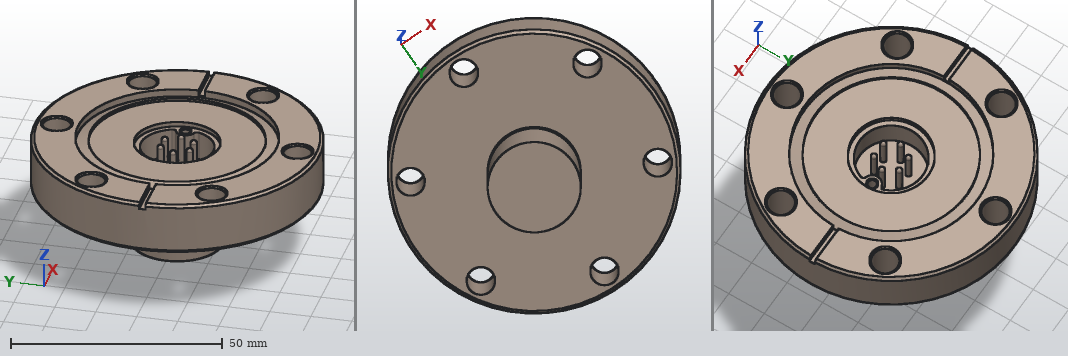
import cadquery as cq
import math

flange_diameter = 69.35
flange_thickness = 12.75
top_chamfer_width = 0.75
top_chamfer_height = 0.6
bottom_chamfer = 0.8

total_height = 27.45
collar_diameter = 22.1
collar_height = 1.25
barrel_diameter = 22.05

recess_diameter = 48.3
recess_depth = 1.9
knife_diameter = 42.0
knife_depth = 0.75
center_face_depth = 1.4

slot_width = 1.5
slot_depth = 1.4

bolt_count = 6
bolt_circle_diameter = 58.7
bolt_hole_diameter = 6.7
bolt_chamfer = 0.4

counterbore_diameter = 20.6
socket_face_depth = 2.6
socket_diameter = 17.7
socket_floor_depth = 9.7

key_offset = 8.3
key_lobe_diameter = 4.6
key_corner_radius = 0.8
key_hole_diameter = 2.3
key_hole_chamfer = 0.3

pin_count = 6
pin_circle_diameter = 8.2
pin_diameter = 1.5
pin_tip_depth = 1.45
pin_embedment = 0.7


def cylinder(diameter, top, bottom):
    """Cylinder on the Z axis between two heights."""
    return cq.Workplane("XY").workplane(offset=bottom).circle(diameter / 2).extrude(top - bottom)


def make_body():
    """Turned flange, knife-edge recess, counterbore and barrel."""
    rim = flange_diameter / 2
    profile = [
        (0, -socket_face_depth),
        (counterbore_diameter / 2, -socket_face_depth),
        (counterbore_diameter / 2, -center_face_depth),
        (knife_diameter / 2, -center_face_depth),
        (knife_diameter / 2, -knife_depth),
        (recess_diameter / 2, -recess_depth),
        (recess_diameter / 2, 0),
        (rim - top_chamfer_width, 0),
        (rim, -top_chamfer_height),
        (rim, bottom_chamfer - flange_thickness),
        (rim - bottom_chamfer, -flange_thickness),
        (collar_diameter / 2, -flange_thickness),
        (collar_diameter / 2, -flange_thickness - collar_height),
        (barrel_diameter / 2, -flange_thickness - collar_height),
        (barrel_diameter / 2, -total_height),
        (0, -total_height),
    ]
    return cq.Workplane("XZ").polyline(profile).close().revolve(360, (0, 0), (0, 1))


def make_slots():
    """Pair of radial slots from the recess wall out through the rim."""
    bar = cq.Workplane("XY").box(flange_diameter, slot_width, slot_depth, centered=(True, True, False))
    return bar.translate((0, 0, -slot_depth)).cut(cylinder(recess_diameter, 0, -slot_depth))


def chamfered_hole(diameter, chamfer, top, bottom):
    """Cutter for a hole on the Z axis with a chamfered mouth at its top."""
    radius = diameter / 2
    profile = [
        (0, top),
        (radius + chamfer, top),
        (radius, top - chamfer),
        (radius, bottom),
        (0, bottom),
    ]
    return cq.Workplane("XZ").polyline(profile).close().revolve(360, (0, 0), (0, 1))


def make_socket():
    """Round pocket notched by the key lobe, with rounded corners beside it."""
    pocket = cylinder(socket_diameter, -socket_face_depth, -socket_floor_depth)
    lobe = cylinder(key_lobe_diameter, -socket_face_depth, -socket_floor_depth)
    pocket = pocket.cut(lobe.translate((key_offset, 0, 0)))
    socket_radius = socket_diameter / 2
    lobe_radius = key_lobe_diameter / 2
    corner_x = (socket_radius**2 - lobe_radius**2 + key_offset**2) / (2 * key_offset)
    corner_y = math.sqrt(socket_radius**2 - corner_x**2)
    middle_z = -(socket_face_depth + socket_floor_depth) / 2
    for side in (1, -1):
        corner = cq.selectors.NearestToPointSelector((corner_x, side * corner_y, middle_z))
        pocket = pocket.edges("|Z").edges(corner).fillet(key_corner_radius)
    return pocket


def make_pin():
    """Round contact pin with a hemispherical tip, rooted in the socket floor."""
    radius = pin_diameter / 2
    dome_center = -pin_tip_depth - radius
    shaft = cylinder(pin_diameter, dome_center, -socket_floor_depth - pin_embedment)
    return shaft.union(cq.Workplane("XY").sphere(radius).translate((0, 0, dome_center)))


result = make_body().cut(make_slots())

bolt_hole = chamfered_hole(bolt_hole_diameter, bolt_chamfer, 0, -flange_thickness)
bolt_places = cq.Workplane("XY").polarArray(bolt_circle_diameter / 2, 90, 360, bolt_count)
result = result.cut(bolt_places.eachpoint(lambda place: bolt_hole.val().moved(place)))

result = result.cut(make_socket())

key_hole = chamfered_hole(key_hole_diameter, key_hole_chamfer, -socket_face_depth, -socket_floor_depth)
result = result.cut(key_hole.translate((key_offset, 0, 0)))

pin = make_pin()
pin_places = cq.Workplane("XY").polarArray(pin_circle_diameter / 2, 0, 360, pin_count)
result = result.union(pin_places.eachpoint(lambda place: pin.val().moved(place)))